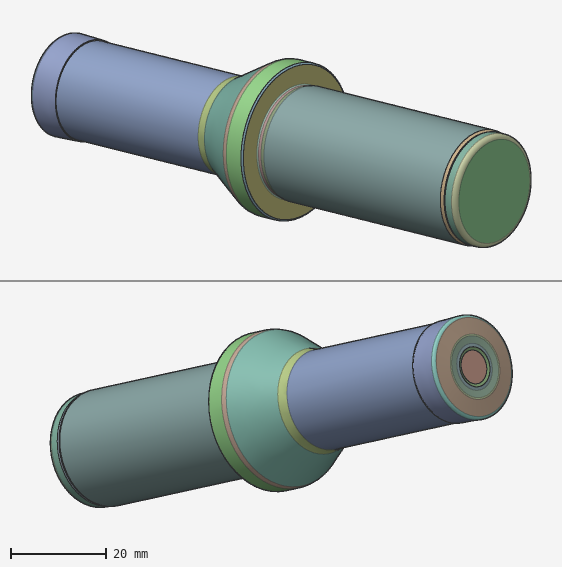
import cadquery as cq
overall_length = 122.0
tip_length = 7.5
cone_start = 48.9
flange_front = 60.8
flange_back = 65.9
neck_end = 66.9
shank_front = 68.0
shank_back = 118.0
undercut_position = 118.7
spigot_front = 119.1

tip_diameter = 22.5
tip_back_diameter = 22.0
stem_diameter = 21.5
flange_diameter = 34.0
neck_diameter = 24.4
shank_diameter = 25.0
undercut_diameter = 24.3
spigot_diameter = 24.5

tip_corner_radius = 0.7
cone_root_radius = 4.9
flange_front_radius = 2.5
flange_back_chamfer = 0.4
neck_root_radius = 0.2
spigot_corner_radius = 1.1

face_slope_depth = 0.5
rim_outer_diameter = 13.9
rim_inner_diameter = 13.2
valley_diameter = 10.0
valley_depth = 0.18
pocket_diameter = 8.5
pocket_lip_depth = 0.1
pocket_floor_diameter = 7.2
pocket_depth = 0.4

MATCH_TOLERANCE = 0.01


def revolve_profile(points):
    """Turn a half outline of (x, radius) points around the X axis."""
    outline = cq.Workplane("XY").polyline(points).close()
    return outline.revolve(360, (0, 0, 0), (1, 0, 0))


def circle_at(body, x, diameter):
    """Select the circular edge of the body at this x with this diameter."""
    def matches(edge):
        same_place = abs(edge.Center().x - x) < MATCH_TOLERANCE
        return same_place and abs(edge.radius() - diameter / 2) < MATCH_TOLERANCE

    return body.edges("%CIRCLE").filter(matches)


def make_tip():
    """Cutting tip: back-tapered drum with a rounded corner and a ringed end face."""
    tip = revolve_profile([
        (pocket_depth, 0),
        (pocket_depth, pocket_floor_diameter / 2),
        (pocket_lip_depth, pocket_diameter / 2),
        (valley_depth, valley_diameter / 2),
        (0, rim_inner_diameter / 2),
        (0, rim_outer_diameter / 2),
        (face_slope_depth, tip_diameter / 2),
        (tip_length, tip_back_diameter / 2),
        (tip_length, 0),
    ])
    corner = circle_at(tip, face_slope_depth, tip_diameter)
    return corner.fillet(tip_corner_radius)


def make_holder():
    """Holder: stem, conical shoulder, flange, relief neck, shank and end spigot."""
    holder = revolve_profile([
        (tip_length, 0),
        (tip_length, stem_diameter / 2),
        (cone_start, stem_diameter / 2),
        (flange_front, flange_diameter / 2),
        (flange_back, flange_diameter / 2),
        (flange_back, neck_diameter / 2),
        (neck_end, neck_diameter / 2),
        (shank_front, shank_diameter / 2),
        (shank_back, shank_diameter / 2),
        (undercut_position, undercut_diameter / 2),
        (spigot_front, spigot_diameter / 2),
        (overall_length, spigot_diameter / 2),
        (overall_length, 0),
    ])
    holder = circle_at(holder, cone_start, stem_diameter).fillet(cone_root_radius)
    holder = circle_at(holder, flange_front, flange_diameter).fillet(flange_front_radius)
    holder = circle_at(holder, flange_back, flange_diameter).chamfer(flange_back_chamfer)
    holder = circle_at(holder, flange_back, neck_diameter).fillet(neck_root_radius)
    return circle_at(holder, overall_length, spigot_diameter).fillet(spigot_corner_radius)


tip = make_tip()
holder = make_holder()

result = cq.Compound.makeCompound([tip.val(), holder.val()])